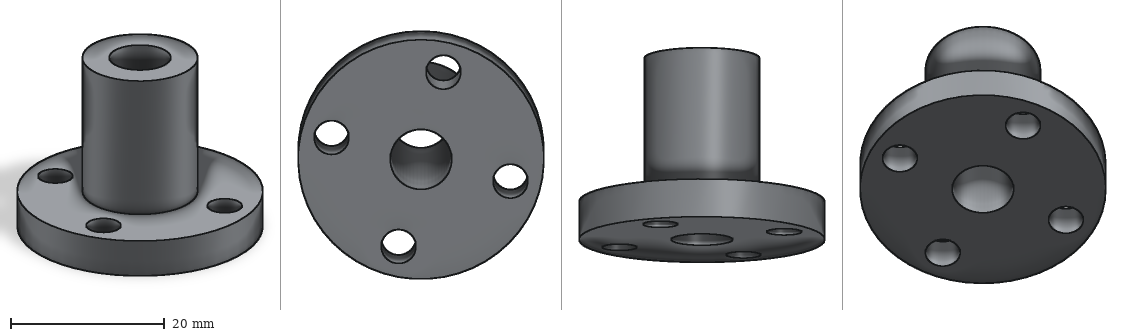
import cadquery as cq

flange_diameter = 32.0
flange_thickness = 5.0

total_height = 24.0
hub_diameter = 15.0
bore_diameter = 8.0

hole_count = 4
hole_diameter = 4.5
hole_circle_diameter = 24.0


def make_flange():
    """Round flange with its evenly spaced mounting holes."""
    plate = cq.Workplane("XY").circle(flange_diameter / 2).extrude(flange_thickness)
    return (
        plate.faces(">Z")
        .workplane()
        .polarArray(hole_circle_diameter / 2, 0, 360, hole_count)
        .hole(hole_diameter)
    )


def make_hub():
    """Cylinder from the flange underside to the top of the part."""
    return cq.Workplane("XY").circle(hub_diameter / 2).extrude(total_height)


body = make_flange().union(make_hub())
result = body.faces(">Z").workplane().hole(bore_diameter)